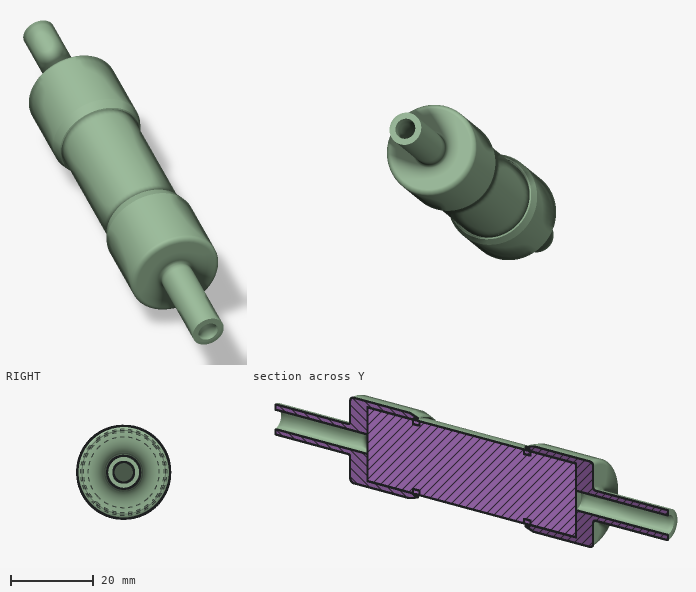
import cadquery as cq

overall_length = 115.9
cap_face_x = 35.9
cap_lip_x = 15.8

barrel_radius = 9.7
barrel_insertion = 15.1

seal_width = 1.7
seal_exposed = 0.2
seal_seat_radius = 8.6

cap_radius = 11.2
skirt_start_x = 18.3
skirt_end_radius = 10.4
lip_bevel_length = 0.1
lip_clearance = 0.3
lip_clearance_depth = 1.2
cap_edge_fillet = 1.2

nozzle_diameter = 8.0
nozzle_bore_diameter = 5.0
nozzle_root_fillet = 0.6

nozzle_radius = nozzle_diameter / 2
nozzle_bore_radius = nozzle_bore_diameter / 2
mouth_radius = barrel_radius + lip_clearance
nozzle_tip_x = overall_length / 2
barrel_end_x = cap_lip_x + barrel_insertion
seal_inner_x = cap_lip_x - seal_exposed
seal_outer_x = seal_inner_x + seal_width


def cylinder_along_x(radius, start_x, end_x):
    """Solid cylinder on the X axis between two X positions."""
    return cq.Workplane("YZ").workplane(offset=start_x).circle(radius).extrude(end_x - start_x)


def make_seal_ring():
    """Ring flush with the barrel surface, on the +X end."""
    ring = cylinder_along_x(barrel_radius, seal_inner_x, seal_outer_x)
    return ring.cut(cylinder_along_x(seal_seat_radius, seal_inner_x, seal_outer_x))


def make_barrel(seal_rings):
    """Solid barrel with a groove for each seal ring."""
    barrel = cylinder_along_x(barrel_radius, -barrel_end_x, barrel_end_x)
    for ring in seal_rings:
        barrel = barrel.cut(ring)
    return barrel


def make_cap():
    """Cap with a tapered skirt, a barrel socket and a bored nozzle, on the +X end."""
    profile = (
        cq.Workplane("XY")
        .moveTo(cap_lip_x, 0)
        .lineTo(cap_lip_x, mouth_radius)
        .lineTo(cap_lip_x + lip_bevel_length, skirt_end_radius)
        .lineTo(skirt_start_x, cap_radius)
        .lineTo(cap_face_x - cap_edge_fillet, cap_radius)
        .radiusArc((cap_face_x, cap_radius - cap_edge_fillet), cap_edge_fillet)
        .lineTo(cap_face_x, nozzle_radius + nozzle_root_fillet)
        .radiusArc((cap_face_x + nozzle_root_fillet, nozzle_radius), -nozzle_root_fillet)
        .lineTo(nozzle_tip_x, nozzle_radius)
        .lineTo(nozzle_tip_x, 0)
        .close()
    )
    cap = profile.revolve(360, (0, 0, 0), (1, 0, 0))
    mouth = cylinder_along_x(mouth_radius, cap_lip_x, cap_lip_x + lip_clearance_depth)
    socket = cylinder_along_x(barrel_radius, cap_lip_x, barrel_end_x)
    bore = cylinder_along_x(nozzle_bore_radius, barrel_end_x, nozzle_tip_x)
    return cap.cut(mouth).cut(socket).cut(bore)


def on_both_ends(body):
    """The body on the +X end and its mirror copy on the -X end."""
    return [body, body.mirror("YZ")]


seal_rings = on_both_ends(make_seal_ring())
caps = on_both_ends(make_cap())
barrel = make_barrel(seal_rings)

bodies = [barrel, *caps, *seal_rings]
result = cq.Compound.makeCompound([body.val() for body in bodies])